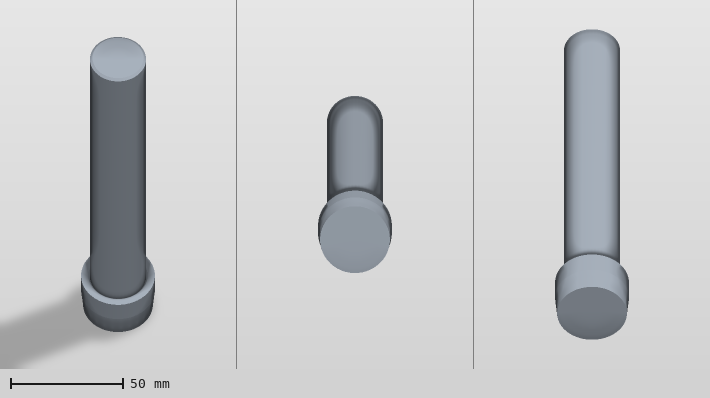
import cadquery as cq

total_height = 180.0

rod_radius = 25.0 / 2
tip_radius = 22.7 / 2
tip_chamfer_height = 0.9

collar_radius = 33.0 / 2
collar_bottom_radius = 31.1 / 2
collar_height = 21.0
taper_height = 10.6
bore_chamfer = 0.7


def make_rod():
    """Round rod running the full height, with a shallow chamfer at its tip."""
    return (
        cq.Workplane("XZ")
        .lineTo(rod_radius, 0)
        .lineTo(rod_radius, total_height - tip_chamfer_height)
        .lineTo(tip_radius, total_height)
        .lineTo(0, total_height)
        .close()
        .revolve(360, (0, 0, 0), (0, 1, 0))
    )


def make_collar():
    """Ring around the rod's foot, tapered below and chamfered at the bore mouth."""
    return (
        cq.Workplane("XZ")
        .moveTo(rod_radius, 0)
        .lineTo(collar_bottom_radius, 0)
        .lineTo(collar_radius, taper_height)
        .lineTo(collar_radius, collar_height)
        .lineTo(rod_radius + bore_chamfer, collar_height)
        .lineTo(rod_radius, collar_height - bore_chamfer)
        .close()
        .revolve(360, (0, 0, 0), (0, 1, 0))
    )


rod = make_rod()
collar = make_collar()

result = cq.Compound.makeCompound([rod.val(), collar.val()])